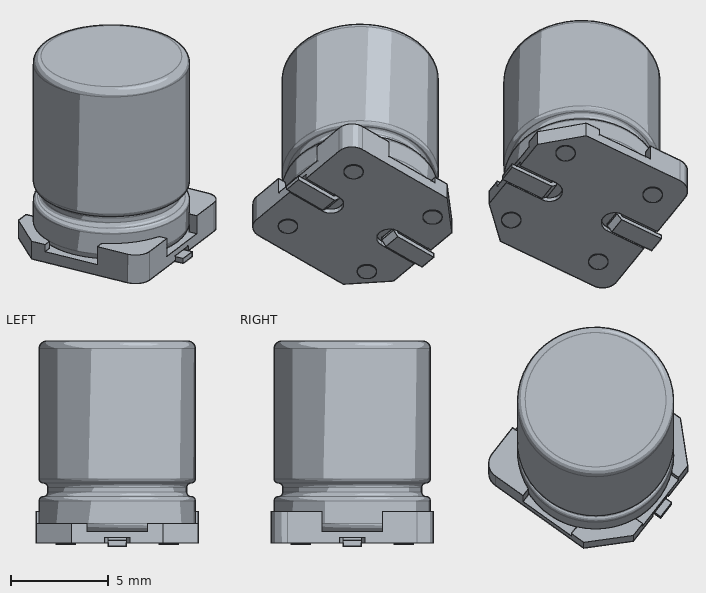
import cadquery as cq
import math


total_height = 10.5
base_width = 8.3
lead_span = 9.0

can_radius = 8.0 / 2
can_bottom = 0.77
can_edge_radius = 0.4
groove_radius = 7.12 / 2
groove_middle = 2.89
groove_flat = 0.24
groove_arc = (can_radius - groove_radius) / 2

lead_width = 0.95
lead_thickness = 0.28
lead_bend = 0.07
lead_inner_end = 1.82

base_bottom = 0.16
post_top = 1.17
tall_post_top = 1.78
corner_cut = 1.82
corner_radius = 0.84
notch_width = 3.08
slot_width = 1.32
slot_top = 0.44
foot_diameter = 1.0
foot_bottom = 0.09
foot_offset = 2.62


def make_can():
    """Solid of revolution with rounded rims and a rolled groove of four quarter arcs."""
    def arc_point(center_r, center_z, side_r, side_z, arc_radius):
        """Middle of the quarter arc in the quadrant given by the two signs."""
        step = arc_radius * math.sqrt(0.5)
        return (center_r + side_r * step, center_z + side_z * step)

    flat_low = groove_middle - groove_flat / 2
    flat_high = groove_middle + groove_flat / 2
    ridge_low = flat_low - 2 * groove_arc
    ridge_high = flat_high + 2 * groove_arc
    mid_radius = groove_radius + groove_arc
    rim_radius = can_radius - can_edge_radius
    rim_low = can_bottom + can_edge_radius
    rim_high = total_height - can_edge_radius

    profile = (
        cq.Workplane("XZ")
        .moveTo(0, can_bottom)
        .lineTo(rim_radius, can_bottom)
        .threePointArc(arc_point(rim_radius, rim_low, 1, -1, can_edge_radius), (can_radius, rim_low))
        .lineTo(can_radius, ridge_low)
        .threePointArc(arc_point(mid_radius, ridge_low, 1, 1, groove_arc), (mid_radius, flat_low - groove_arc))
        .threePointArc(arc_point(mid_radius, flat_low, -1, -1, groove_arc), (groove_radius, flat_low))
        .lineTo(groove_radius, flat_high)
        .threePointArc(arc_point(mid_radius, flat_high, -1, 1, groove_arc), (mid_radius, flat_high + groove_arc))
        .threePointArc(arc_point(mid_radius, ridge_high, 1, -1, groove_arc), (can_radius, ridge_high))
        .lineTo(can_radius, rim_high)
        .threePointArc(arc_point(rim_radius, rim_high, 1, 1, can_edge_radius), (rim_radius, total_height))
        .lineTo(0, total_height)
        .close()
    )
    return profile.revolve(360, (0, 0), (0, 1))


def make_lead():
    """Flat lead on the -X side, bent upward at its inner end."""
    tip = -lead_span / 2
    leg_outer = -lead_inner_end - lead_thickness
    return (
        cq.Workplane("XZ")
        .moveTo(tip, 0)
        .lineTo(leg_outer, 0)
        .lineTo(-lead_inner_end, lead_thickness)
        .lineTo(-lead_inner_end, can_bottom)
        .lineTo(leg_outer, can_bottom)
        .lineTo(leg_outer, lead_thickness + lead_bend)
        .radiusArc((leg_outer - lead_bend, lead_thickness), lead_bend)
        .lineTo(tip, lead_thickness)
        .close()
        .extrude(lead_width / 2, both=True)
    )


def make_slot():
    """Clearance around the -X lead: open to the side, rounded behind the bend."""
    edge = -base_width / 2
    slot_end = -lead_inner_end - lead_thickness / 2
    length = slot_end - edge
    height = slot_top - base_bottom
    straight = (
        cq.Workplane("XY", origin=(edge, 0, base_bottom))
        .rect(2 * length, slot_width)
        .extrude(height)
    )
    rounded_end = (
        cq.Workplane("XY", origin=(slot_end, 0, base_bottom))
        .circle(slot_width / 2)
        .extrude(height)
    )
    return straight.union(rounded_end)


def both_ends(shape):
    """The shape together with its copy turned to the +X side."""
    return shape.union(shape.rotate((0, 0, 0), (0, 0, 1), 180))


def make_capacitor(leads):
    """Can and its two leads as one solid."""
    return make_can().union(leads)


def make_base(leads):
    """Plate with corner posts, a seat for the can, passages for the leads and four feet."""
    base = (
        cq.Workplane("XY", origin=(0, 0, base_bottom))
        .rect(base_width, base_width)
        .extrude(tall_post_top - base_bottom)
        .edges("|Z and <X")
        .chamfer(corner_cut)
        .edges("|Z and >X")
        .fillet(corner_radius)
    )

    lowered = (
        cq.Workplane("XY", origin=(-base_width / 2, 0, post_top))
        .rect(base_width, base_width)
        .extrude(tall_post_top - post_top)
    )
    base = base.cut(lowered)

    notch_height = tall_post_top - can_bottom
    notches = cq.Workplane("XY", origin=(0, 0, can_bottom))
    along_x = notches.rect(base_width, notch_width).extrude(notch_height)
    along_y = notches.rect(notch_width, base_width).extrude(notch_height)
    base = base.cut(along_x).cut(along_y)

    seat = cq.Workplane("XY", origin=(0, 0, can_bottom)).circle(can_radius).extrude(notch_height)
    base = base.cut(seat)

    base = base.cut(both_ends(make_slot())).cut(leads)

    feet = (
        cq.Workplane("XY", origin=(0, 0, foot_bottom))
        .rect(2 * foot_offset, 2 * foot_offset, forConstruction=True)
        .vertices()
        .circle(foot_diameter / 2)
        .extrude(base_bottom - foot_bottom)
    )
    return base.union(feet)


leads = both_ends(make_lead())
capacitor = make_capacitor(leads)
base = make_base(leads)

result = cq.Compound.makeCompound([*capacitor.solids().vals(), *base.solids().vals()])